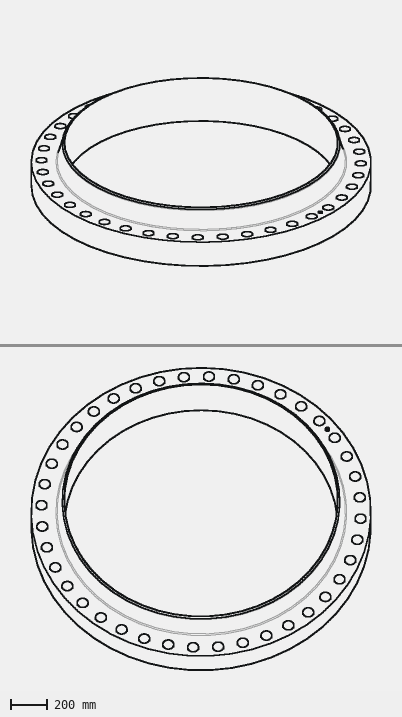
import cadquery as cq

flange_diameter = 1878.0
flange_thickness = 150.0
bore_diameter = 1510.0

total_height = 270.0
neck_base_diameter = 1595.0
neck_end_diameter = 1534.0
neck_base_fillet = 8.0

land_length = 5.0
bevel_height = 8.0
root_face_width = 2.0

bolt_count = 40
bolt_circle_diameter = 1765.0
bolt_hole_diameter = 60.0

step_diameter = 23.0
step_depth = 8.0
pilot_diameter = 10.0
pilot_depth = 38.0

flange_radius = flange_diameter / 2
bore_radius = bore_diameter / 2
neck_base_radius = neck_base_diameter / 2
neck_end_radius = neck_end_diameter / 2
bolt_circle_radius = bolt_circle_diameter / 2
bolt_pitch_angle = 360.0 / bolt_count
bevel_base_z = total_height - bevel_height
taper_end_z = bevel_base_z - land_length


def make_body():
    """Revolve the ring section, then round the corner where the neck meets the flange."""
    section = [
        (bore_radius, 0),
        (flange_radius, 0),
        (flange_radius, flange_thickness),
        (neck_base_radius, flange_thickness),
        (neck_end_radius, taper_end_z),
        (neck_end_radius, bevel_base_z),
        (bore_radius + root_face_width, total_height),
        (bore_radius, total_height),
    ]
    ring = cq.Workplane("XZ").polyline(section).close().revolve(360, (0, 0), (0, 1))
    neck_foot = cq.selectors.RadiusNthSelector(-2)
    return ring.edges("%CIRCLE").edges(neck_foot).fillet(neck_base_fillet)


def make_bolt_holes():
    """Through holes evenly spaced on the bolt circle, the first one on +X."""
    return (
        cq.Workplane("XY")
        .polarArray(bolt_circle_radius, 0, 360, bolt_count)
        .circle(bolt_hole_diameter / 2)
        .extrude(flange_thickness)
    )


def make_stepped_hole():
    """Counterbored blind hole on the bolt circle, sunk from the top face of the flange."""
    top = cq.Workplane("XY", origin=(bolt_circle_radius, 0, flange_thickness))
    step = top.circle(step_diameter / 2).extrude(-step_depth)
    pilot = top.circle(pilot_diameter / 2).extrude(-pilot_depth)
    return step.union(pilot).rotate((0, 0, 0), (0, 0, 1), bolt_pitch_angle / 2)


result = make_body().cut(make_bolt_holes()).cut(make_stepped_hole())